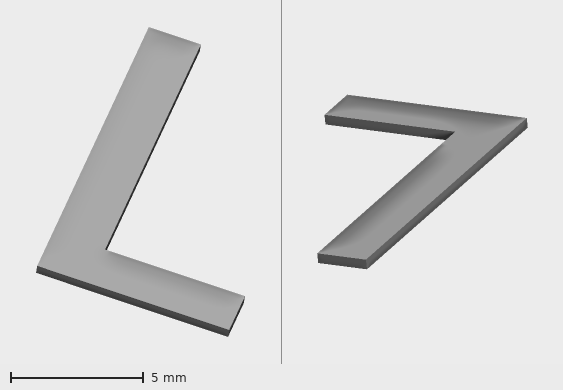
import cadquery as cq

leg_length = 13.0
foot_length = 7.71
leg_width = 2.09
foot_width = 1.85
thickness = 0.4
tilt_angle = 6.6

outline = [
    (0, 0),
    (foot_length, 0),
    (foot_length, foot_width),
    (leg_width, foot_width),
    (leg_width, leg_length),
    (0, leg_length),
]
flat_plate = cq.Workplane("XY").polyline(outline).close().extrude(thickness)

result = flat_plate.rotate((0, 0, 0), (0, 1, 0), tilt_angle)